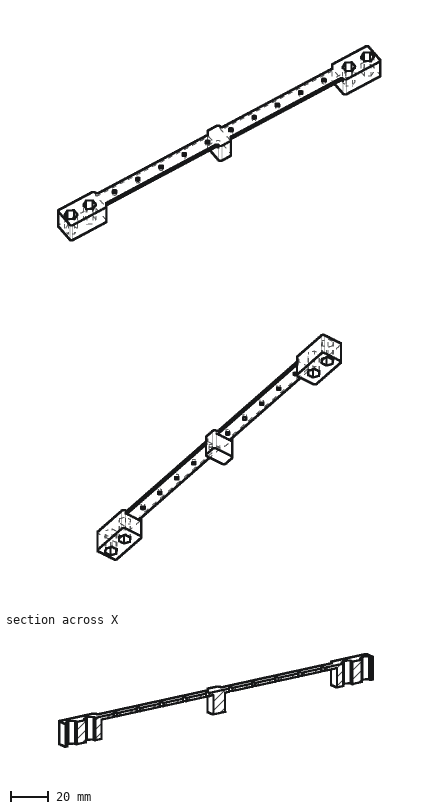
import cadquery as cq
import math

length = 200.0
width = 12.8
height = 12.8

strip_width = 8.0
strip_thickness = 2.0
strip_bottom = height - strip_thickness

end_block_length = 23.5
middle_block_length = 8.0
end_block_center = (length - end_block_length) / 2

outer_corner_radius = 1.0
inner_corner_radius = 1.5
root_radius = (width - strip_width) / 2 - inner_corner_radius

hex_across_corners = 6.8
hex_pitch = 12.0
hex_end_margin = 4.5

small_hole_diameter = 2.0
small_hole_pitch = 15.0
small_hole_count = 10


def block(block_length, center_y):
    """Full-height block with sharp edges, standing on Z = 0."""
    return cq.Workplane("XY").center(0, center_y).rect(width, block_length).extrude(height)


def end_block(side):
    """Block at one end of the strip; side is +1 or -1 along Y."""
    outer_face, inner_face = (">Y", "<Y") if side > 0 else ("<Y", ">Y")
    body = block(end_block_length, side * end_block_center)
    body = body.faces(outer_face).edges("|Z").fillet(outer_corner_radius)
    return body.faces(inner_face).edges("|Z").fillet(inner_corner_radius)


def middle_block():
    """Short block halfway along the strip."""
    return block(middle_block_length, 0).edges("|Z").fillet(inner_corner_radius)


def strip():
    """Flat bar running between the end blocks."""
    return (
        cq.Workplane("XY", origin=(0, 0, strip_bottom))
        .rect(strip_width, length - end_block_length)
        .extrude(strip_thickness)
    )


def root_fillet(face_y, x_side, y_side):
    """Concave fillet between a block face at face_y and one side of the strip."""
    strip_side_x = x_side * strip_width / 2
    arc_offset = root_radius * (1 - math.sqrt(0.5))
    return (
        cq.Workplane("XY", origin=(0, 0, strip_bottom))
        .moveTo(strip_side_x, face_y)
        .lineTo(strip_side_x + x_side * root_radius, face_y)
        .threePointArc(
            (strip_side_x + x_side * arc_offset, face_y + y_side * arc_offset),
            (strip_side_x, face_y + y_side * root_radius),
        )
        .close()
        .extrude(strip_thickness)
    )


def hex_holes():
    """Two through holes in each end block, with corners pointing along X."""
    outer_y = length / 2 - hex_end_margin
    inner_y = outer_y - hex_pitch
    centers = [(0, side * y) for side in (1, -1) for y in (inner_y, outer_y)]
    return cq.Workplane("XY").pushPoints(centers).polygon(6, hex_across_corners).extrude(height)


def small_holes():
    """Evenly spaced round holes through the strip."""
    return (
        cq.Workplane("XY", origin=(0, 0, strip_bottom))
        .rarray(2, small_hole_pitch, 1, small_hole_count)
        .circle(small_hole_diameter / 2)
        .extrude(strip_thickness)
    )


result = strip().union(middle_block())
for end_side in (1, -1):
    result = result.union(end_block(end_side))
    end_face_y = end_side * (length / 2 - end_block_length)
    middle_face_y = end_side * middle_block_length / 2
    for strip_side in (1, -1):
        result = result.union(root_fillet(end_face_y, strip_side, -end_side))
        result = result.union(root_fillet(middle_face_y, strip_side, end_side))

result = result.cut(hex_holes()).cut(small_holes())